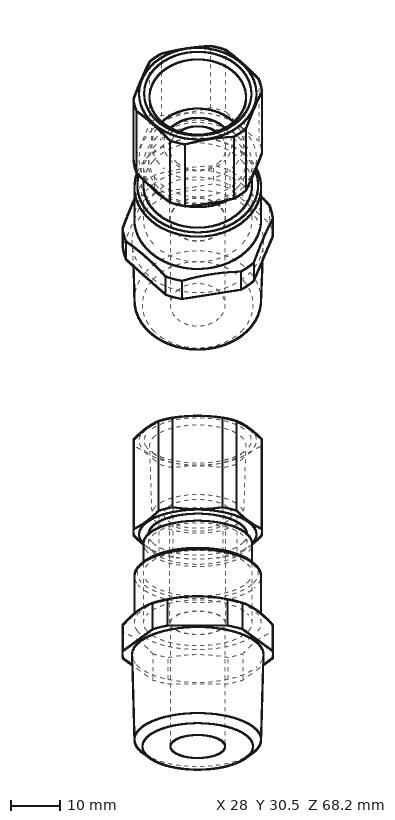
import cadquery as cq
import math


TOTAL_HEIGHT = 68.25
HEX_BOTTOM = 20.5
HEX_TOP = 27.6
COLLAR_TOP = 38.6
SHANK_TOP = 45.25
NUT_BOTTOM = 47.3

HEX_FLATS = 28.0
HEX_CORNER_RADIUS = 30.5 / 2
COLLAR_RADIUS = 12.8
COLLAR_CHAMFER = 0.6
THREAD_BASE_RADIUS = 13.3
THREAD_END_RADIUS = 12.8
THREAD_CHAMFER_WIDTH = 1.65
THREAD_CHAMFER_HEIGHT = 1.5
HEX_BEVEL_HEIGHT = 1.2
HOUSING_BORE_RADIUS = 5.5

NUT_FLATS = 24.0
NUT_CORNER_RADIUS = 13.05
NUT_BEVEL_WIDTH = 1.15
NUT_BEVEL_HEIGHT = 0.5
NECK_RADIUS = 9.95
SHANK_RADIUS = 11.0
SWIVEL_BORE_RADIUS = 5.65
BORE_COUNTERSINK = 1.2
SOCKET_MOUTH_RADIUS = 10.85
SOCKET_TOP_RADIUS = 9.75
SOCKET_FLOOR_RADIUS = 9.3
PIPE_TAPER = 1 / 16

SHANK_BOTTOM = HEX_TOP
SHANK_LENGTH = SHANK_TOP - SHANK_BOTTOM


def turned(profile):
    """Solid of revolution about Z from (radius, height) points."""
    return cq.Workplane("XZ").polyline(profile).close().revolve(360, (0, 0, 0), (0, 1, 0))


def cylinder(radius, bottom, height):
    return cq.Workplane("XY").workplane(offset=bottom).circle(radius).extrude(height)


def hexagon(flats, bottom, height):
    """Hexagonal prism with two corners on the Y axis."""
    across_corners = flats / math.cos(math.pi / 6)
    prism = cq.Workplane("XY").polygon(6, across_corners).extrude(height)
    return prism.rotate((0, 0, 0), (0, 0, 1), 30).translate((0, 0, bottom))


def make_housing():
    hex_blank = turned([
        (0, HEX_BOTTOM),
        (HEX_CORNER_RADIUS, HEX_BOTTOM),
        (HEX_CORNER_RADIUS, HEX_TOP - HEX_BEVEL_HEIGHT),
        (COLLAR_RADIUS, HEX_TOP),
        (0, HEX_TOP),
    ])
    hex_flange = hexagon(HEX_FLATS, HEX_BOTTOM, HEX_TOP - HEX_BOTTOM).intersect(hex_blank)

    thread = turned([
        (0, 0),
        (THREAD_END_RADIUS - THREAD_CHAMFER_WIDTH, 0),
        (THREAD_END_RADIUS, THREAD_CHAMFER_HEIGHT),
        (THREAD_BASE_RADIUS, HEX_BOTTOM),
        (0, HEX_BOTTOM),
    ])

    collar = cylinder(COLLAR_RADIUS, HEX_TOP, COLLAR_TOP - HEX_TOP)
    collar = collar.faces(">Z").edges().chamfer(COLLAR_CHAMFER)

    shank_recess = cylinder(SHANK_RADIUS, SHANK_BOTTOM, SHANK_LENGTH)
    bore = cylinder(HOUSING_BORE_RADIUS, 0, COLLAR_TOP)
    return thread.union(hex_flange).union(collar).cut(shank_recess).cut(bore)


def make_swivel():
    bevel_radius = NUT_CORNER_RADIUS - NUT_BEVEL_WIDTH
    nut_blank = turned([
        (0, NUT_BOTTOM),
        (bevel_radius, NUT_BOTTOM),
        (NUT_CORNER_RADIUS, NUT_BOTTOM + NUT_BEVEL_HEIGHT),
        (NUT_CORNER_RADIUS, TOTAL_HEIGHT - NUT_BEVEL_HEIGHT),
        (bevel_radius, TOTAL_HEIGHT),
        (0, TOTAL_HEIGHT),
    ])
    nut = hexagon(NUT_FLATS, NUT_BOTTOM, TOTAL_HEIGHT - NUT_BOTTOM).intersect(nut_blank)

    shank = cylinder(SHANK_RADIUS, SHANK_BOTTOM, SHANK_LENGTH)
    neck = cylinder(NECK_RADIUS, SHANK_TOP, NUT_BOTTOM - SHANK_TOP)

    socket_top = TOTAL_HEIGHT - (SOCKET_MOUTH_RADIUS - SOCKET_TOP_RADIUS)
    socket_floor = socket_top - 2 * (SOCKET_TOP_RADIUS - SOCKET_FLOOR_RADIUS) / PIPE_TAPER
    passage = turned([
        (0, SHANK_BOTTOM),
        (SWIVEL_BORE_RADIUS, SHANK_BOTTOM),
        (SWIVEL_BORE_RADIUS, socket_floor - BORE_COUNTERSINK),
        (SWIVEL_BORE_RADIUS + BORE_COUNTERSINK, socket_floor),
        (SOCKET_FLOOR_RADIUS, socket_floor),
        (SOCKET_TOP_RADIUS, socket_top),
        (SOCKET_MOUTH_RADIUS, TOTAL_HEIGHT),
        (0, TOTAL_HEIGHT),
    ])
    return shank.union(neck).union(nut).cut(passage)


housing = make_housing()
swivel = make_swivel()

result = cq.Compound.makeCompound([housing.val(), swivel.val()])